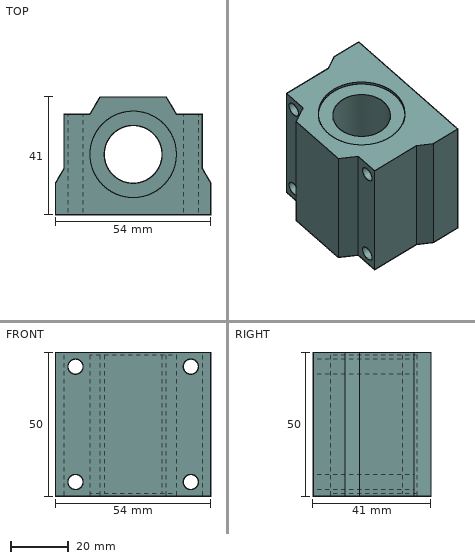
import cadquery as cq

base_width = 54.0
body_width = 48.0
crown_foot_width = 30.0
crown_top_width = 22.95
height = 50.0
depth = 41.0
shoulder_y = 35.0
flank_low_y = 11.0
flank_high_y = 16.15

bore_y = 21.0
sleeve_diameter = 30.0
sleeve_bore = 20.0
sleeve_recess = 1.0

hole_diameter = 5.2
hole_pitch = 40.0


def make_housing():
    """Stepped block with a round seat along Z and four mounting holes along Y."""
    right_half = [
        (base_width / 2, 0),
        (base_width / 2, flank_low_y),
        (body_width / 2, flank_high_y),
        (body_width / 2, shoulder_y),
        (crown_foot_width / 2, shoulder_y),
        (crown_top_width / 2, depth),
    ]
    left_half = [(-x, y) for x, y in reversed(right_half)]
    block = cq.Workplane("XY").polyline(right_half + left_half).close().extrude(height)
    seat = cq.Workplane("XY").center(0, bore_y).circle(sleeve_diameter / 2).extrude(height)
    mounting_holes = (
        cq.Workplane("XZ")
        .center(0, height / 2)
        .rect(hole_pitch, hole_pitch, forConstruction=True)
        .vertices()
        .circle(hole_diameter / 2)
        .extrude(-depth)
    )
    return block.cut(seat).cut(mounting_holes)


def make_sleeve():
    """Plain bearing sleeve, set back equally from both ends of the housing."""
    return (
        cq.Workplane("XY", origin=(0, bore_y, sleeve_recess))
        .circle(sleeve_diameter / 2)
        .circle(sleeve_bore / 2)
        .extrude(height - 2 * sleeve_recess)
    )


housing = make_housing()
sleeve = make_sleeve()
result = cq.Compound.makeCompound([housing.val(), sleeve.val()])